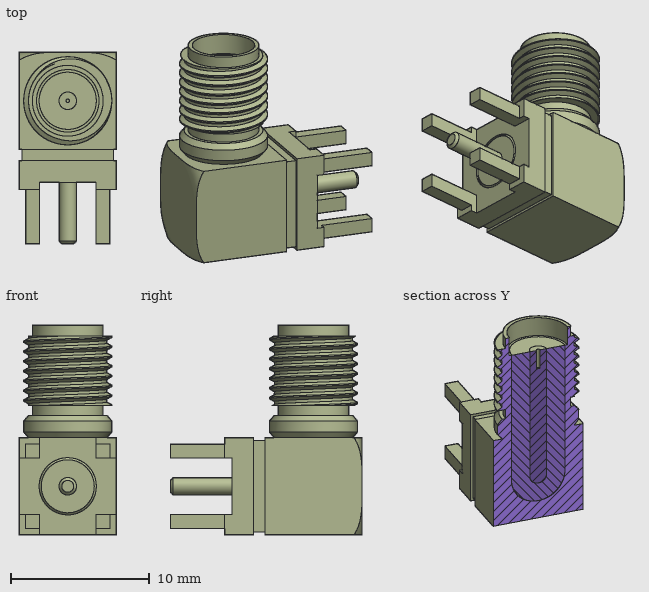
import cadquery as cq
import math


body_width = 7.0
half_width = body_width / 2
groove_width = 6.6
groove_length = 0.8
plate_length = 2.1
pad_height = 0.52
pad_size = 1.48
leg_size = 1.02
leg_length = 3.9
block_front_y = -half_width
plate_back_y = block_front_y - groove_length
pad_front_y = plate_back_y - plate_length
plate_front_y = pad_front_y + pad_height
leg_tip_y = pad_front_y - leg_length

trim_start_radius = half_width
trim_round_radius = 2.1

barrel_height = 8.1
barrel_top_z = half_width + barrel_height
neck_radius = 2.55
collar_radius = 3.175
collar_height = 1.6
collar_chamfer_height = 0.4
collar_chamfer_depth = 0.34
socket_radius = 2.25
socket_depth = 1.45
socket_floor_z = barrel_top_z - socket_depth

thread_major_radius = 6.35 / 2
thread_root_radius = 2.825
thread_pitch = 25.4 / 36
thread_crest_width = thread_pitch / 8
thread_flank_angle = 30.0
thread_length = 5.0
thread_runout = 0.8
thread_top_z = barrel_top_z - thread_runout
thread_bottom_z = thread_top_z - thread_length
first_crest_offset = 0.02
ridge_overlap = 0.05

insulator_radius = 2.06
insulator_chamfer = 0.15
contact_radius = 0.63
contact_tip_chamfer = 0.2
contact_hole_diameter = 0.25
contact_hole_depth = 1.5


def box_y(width, y_start, y_end):
    """Square bar centered on the Y axis between two Y positions."""
    return cq.Workplane("XZ", origin=(0, y_start, 0)).rect(width, width).extrude(y_start - y_end)


def cylinder_z(radius, z_start, z_end):
    """Round bar on the Z axis between two heights."""
    return cq.Workplane("XY").workplane(offset=z_start).circle(radius).extrude(z_end - z_start)


def elbow(radius, top_z, front_y):
    """Round bar running down the Z axis and turning forward along -Y with a mitred corner."""
    path = cq.Workplane("YZ").polyline([(0, top_z), (0, 0), (front_y, 0)])
    return cq.Workplane("XY").workplane(offset=top_z).circle(radius).sweep(path, transition="right")


def make_block():
    """Rear block with its four rear corners rounded off by turning about the Y axis."""
    block = box_y(body_width, half_width, block_front_y)
    blank_radius = trim_start_radius + trim_round_radius
    blank = cq.Workplane("XZ", origin=(0, half_width, 0)).circle(blank_radius).extrude(body_width)
    envelope = blank.faces(">Y").edges().fillet(trim_round_radius)
    return block.intersect(envelope)


def make_plate():
    """Grooved mounting plate with a raised pad and a solder leg at each corner."""
    plate = box_y(groove_width, block_front_y, plate_back_y)
    plate = plate.union(box_y(body_width, plate_back_y, plate_front_y))
    pad_center = half_width - pad_size / 2
    leg_center = half_width - pad_size + leg_size / 2
    for x_side in (-1, 1):
        for z_side in (-1, 1):
            pad = (
                cq.Workplane("XZ", origin=(0, plate_front_y, 0))
                .center(x_side * pad_center, z_side * pad_center)
                .rect(pad_size, pad_size)
                .extrude(pad_height)
            )
            leg = (
                cq.Workplane("XZ", origin=(0, pad_front_y, 0))
                .center(x_side * leg_center, z_side * leg_center)
                .rect(leg_size, leg_size)
                .extrude(leg_length)
            )
            plate = plate.union(pad).union(leg)
    return plate


def make_thread():
    """Thread core with a helical ridge, cut flat at both ends."""
    core = cylinder_z(thread_root_radius, thread_bottom_z, thread_top_z)
    helix_start_z = thread_bottom_z + first_crest_offset - thread_pitch
    helix_height = thread_length + 2 * thread_pitch
    base_radius = thread_root_radius - ridge_overlap
    flank_run = (thread_major_radius - base_radius) * math.tan(math.radians(thread_flank_angle))
    half_crest = thread_crest_width / 2
    half_base = half_crest + flank_run
    helix = cq.Wire.makeHelix(thread_pitch, helix_height, base_radius, cq.Vector(0, 0, helix_start_z))
    ridge = (
        cq.Workplane("XZ")
        .polyline([
            (base_radius, helix_start_z - half_base),
            (thread_major_radius, helix_start_z - half_crest),
            (thread_major_radius, helix_start_z + half_crest),
            (base_radius, helix_start_z + half_base),
        ])
        .close()
        .sweep(cq.Workplane(helix), isFrenet=True)
    )
    band = cylinder_z(thread_major_radius + 1, thread_bottom_z, thread_top_z)
    return core.union(ridge.intersect(band))


def make_collar():
    """Collar at the foot of the barrel, chamfered at both ends."""
    collar_top_z = half_width + collar_height
    end_radius = collar_radius - collar_chamfer_depth
    return (
        cq.Workplane("XZ")
        .polyline([
            (0, half_width),
            (end_radius, half_width),
            (collar_radius, half_width + collar_chamfer_height),
            (collar_radius, collar_top_z - collar_chamfer_height),
            (end_radius, collar_top_z),
            (0, collar_top_z),
        ])
        .close()
        .revolve(360, (0, 0, 0), (0, 1, 0))
    )


def make_housing():
    """Metal shell: block, plate, collar and threaded barrel, bored for the insulator."""
    collar = make_collar()
    neck = cylinder_z(neck_radius, half_width, barrel_top_z)
    shell = make_block().union(make_plate()).union(collar).union(neck).union(make_thread())
    socket = cylinder_z(socket_radius, socket_floor_z, barrel_top_z)
    return shell.cut(socket).cut(elbow(insulator_radius, socket_floor_z, plate_front_y))


def make_insulator():
    """Dielectric elbow filling the bore, chamfered at the board end and bored for the contact."""
    body = elbow(insulator_radius, socket_floor_z, plate_front_y)
    body = body.faces("<Y").edges().chamfer(insulator_chamfer)
    return body.cut(elbow(contact_radius, socket_floor_z, plate_front_y))


def make_contact():
    """Center contact: chamfered solder tip at the board end, small blind hole at the mating end."""
    body = elbow(contact_radius, socket_floor_z, leg_tip_y)
    body = body.faces("<Y").edges().chamfer(contact_tip_chamfer)
    hole = cylinder_z(contact_hole_diameter / 2, socket_floor_z - contact_hole_depth, socket_floor_z)
    return body.cut(hole)


housing = make_housing()
insulator = make_insulator()
contact = make_contact()

result = cq.Compound.makeCompound([
    *housing.solids().vals(),
    *insulator.solids().vals(),
    *contact.solids().vals(),
])